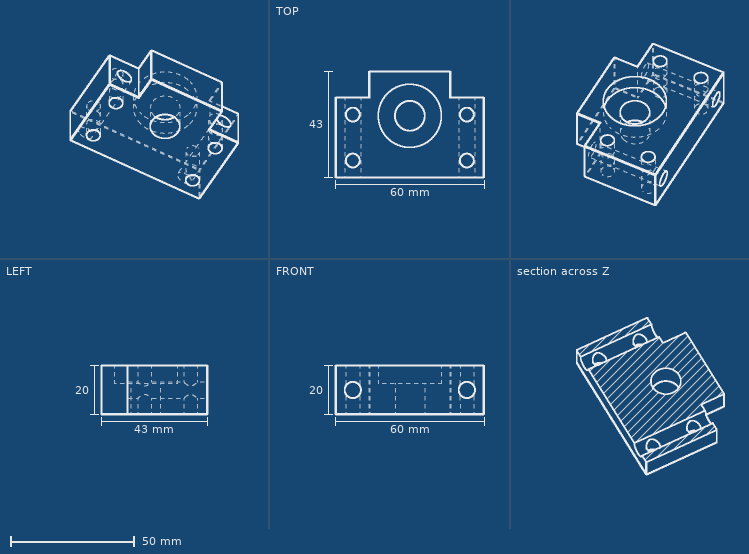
import cadquery as cq

width = 60.0
depth = 43.0
height = 20.0
body_depth = 32.5
head_width = 33.0
edge_chamfer = 0.3

bore_from_front = 25.0
seat_diameter = 25.5
seat_depth = 7.2
bore_diameter = 11.95

hole_spacing = 46.0
vertical_hole_diameter = 5.5
first_hole_from_front = 6.95
vertical_hole_pitch = 18.55
cross_hole_diameter = 6.5


def make_block():
    """T-shaped block standing on Z = 0, front face on Y = 0, outer edges broken."""
    body = cq.Workplane("XY").box(width, body_depth, height, centered=(True, False, False))
    head = cq.Workplane("XY").box(head_width, depth, height, centered=(True, False, False))
    block = body.union(head)
    inside_corners = cq.selectors.BoxSelector(
        (-head_width / 2 - edge_chamfer, body_depth - edge_chamfer, 0),
        (head_width / 2 + edge_chamfer, body_depth + edge_chamfer, height),
    )
    return block.edges(cq.selectors.InverseSelector(inside_corners)).chamfer(edge_chamfer)


def cut_bearing_seat(block):
    seat = (
        cq.Workplane("XY", origin=(0, bore_from_front, height - seat_depth))
        .circle(seat_diameter / 2)
        .extrude(seat_depth)
    )
    bore = (
        cq.Workplane("XY", origin=(0, bore_from_front, 0))
        .circle(bore_diameter / 2)
        .extrude(height)
    )
    return block.cut(seat).cut(bore)


def cut_vertical_holes(block):
    """Two rows of holes through the full height."""
    rows = (first_hole_from_front, first_hole_from_front + vertical_hole_pitch)
    points = [(side * hole_spacing / 2, y) for side in (-1, 1) for y in rows]
    holes = (
        cq.Workplane("XY")
        .pushPoints(points)
        .circle(vertical_hole_diameter / 2)
        .extrude(height)
    )
    return block.cut(holes)


def cut_cross_holes(block):
    """Holes at mid height, running along Y through the body."""
    points = [(side * hole_spacing / 2, height / 2) for side in (-1, 1)]
    holes = (
        cq.Workplane("XZ")
        .pushPoints(points)
        .circle(cross_hole_diameter / 2)
        .extrude(-body_depth)
    )
    return block.cut(holes)


block = make_block()
block = cut_bearing_seat(block)
block = cut_vertical_holes(block)
result = cut_cross_holes(block)